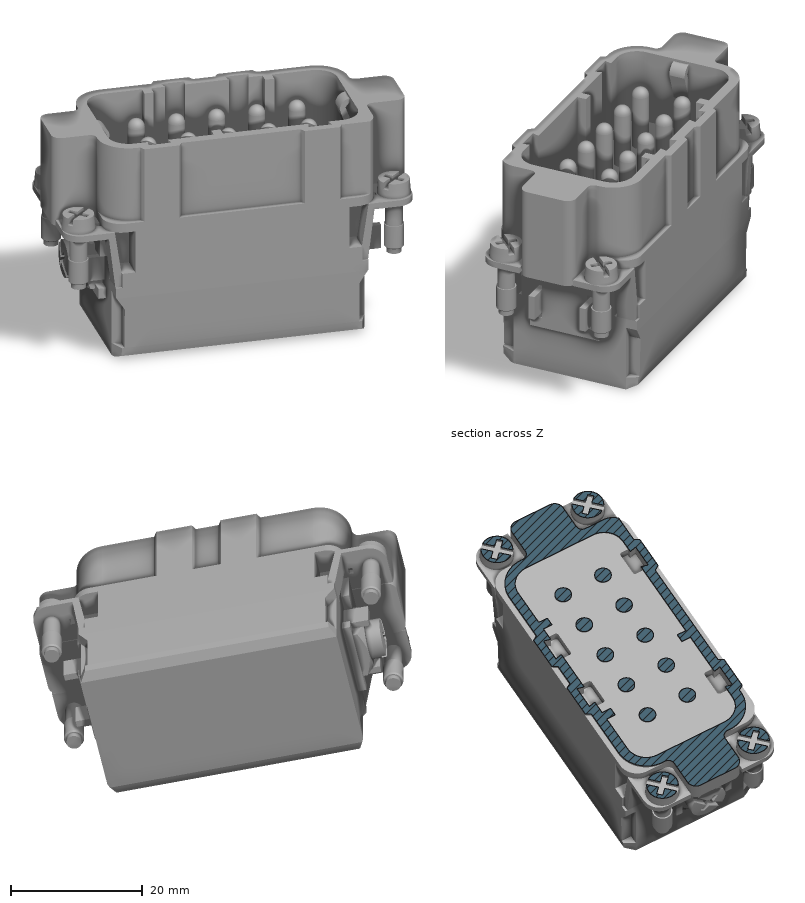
import cadquery as cq
import math

TOTAL_HEIGHT = 35.0
CHAMFER_LOW_Z = 0.7
CHAMFER_TOP_Z = 2.04
TAPER_START_Z = 10.5
COLLAR_BOTTOM_Z = 21.44
COLLAR_TOP_Z = 22.9
FLOOR_Z = 23.0
LOBE_BOTTOM_Z = 20.27

HALF_WIDTH = 11.6
TAPERED_HALF_WIDTH = 11.4
BEVEL_HALF_WIDTH = 11.3
FOOT_HALF_WIDTH = 9.76
BODY_HALF_LENGTH = 19.83
BEVEL_END_HALF_LENGTH = 18.83
SHROUD_HALF_WIDTH = 10.8
SHROUD_HALF_LENGTH = 21.25
COLLAR_RADIUS = 3.0
SHROUD_RADIUS = 4.9
CAVITY_HALF_WIDTH = 9.2
CAVITY_HALF_LENGTH = 19.6
CAVITY_RADIUS = 3.3

LOBE_HALF_WIDTH = 4.5
LOBE_END_Y = 27.7
LOBE_CORNER_RADIUS = 1.5
LOBE_ROOT_RADIUS = 1.0

LEFT_KEYWAYS_Y = (-5.0, 5.0)
RIGHT_KEYWAYS_Y = (-12.58, 12.58)
KEYWAY_BOTTOM_X = 10.3
KEYWAY_WIDTH = 3.65
KEYWAY_MOUTH_WIDTH = 3.1
KEYWAY_FLOOR_WIDTH = 4.45
KEYWAY_FLOOR_DEPTH = 2.0
KEYWAY_FLOOR_RADIUS = 0.4
PAD_WIDTH = 5.5
PAD_BASE_WIDTH = 6.5
RIB_INNER_X = 7.7
RIB_WIDTH = 1.45
LEFT_RIBS_Y = (-9.47, 9.47)
RIGHT_RIBS_Y = (-3.12,)

PIN_RADIUS = 1.3
PIN_TOP_Z = 33.0
PIN_PITCH_X = 7.0
PIN_PITCH_Y = 6.3
PIN_COLUMNS = 2
PIN_ROWS = 5

CLIP_HALF_WIDTH = 1.28
CLIP_ROOT_DEPTH = 0.2
CLIP_LEDGE = 0.25
CLIP_REACH = 1.55
CLIP_NOSE_RADIUS = 1.8
CLIP_TOP_Z = 34.6
CLIP_NOSE_Z = 32.9
CLIP_BOTTOM_Z = 28.3
CLIP_GAP_DEPTH = 0.65
CLIP_GAP_TOP_Z = 34.0
CLIP_GAP_APEX_Z = 33.2
CLIP_GAP_BOTTOM_Z = 31.5

PLATE_OUTER_X = 11.25
PLATE_END_Y = 27.4
PLATE_CORNER_RADIUS = 2.7
PLATE_BOTTOM_Z = 20.43
PLATE_TOP_Z = COLLAR_BOTTOM_Z
LEG_INNER_X = 8.3
LEG_POCKET_INNER_X = 7.8
LEG_BOTTOM_Z = 12.24
LEG_BEND_Z = 14.3
LEG_TOP_OUTER_Y = 20.83
LEG_TOP_INNER_Y = 19.9
PLATE_HOLE_X = 7.8
PLATE_HOLE_WIDTH = 1.0
PLATE_HOLE_END_Y = 21.95
POCKET_INNER_Y = 16.8
POCKET_BOTTOM_Z = 14.58

SCREW_X = 8.0
SCREW_Y = 24.75
SCREW_HEAD_RADIUS = 2.6
SCREW_HEAD_TOP_RADIUS = 2.4
SCREW_HEAD_TOP_Z = 23.78
SHANK_RADIUS = 1.35
SLEEVE_RADIUS = 1.53
SLEEVE_TOP_Z = 16.25
SLEEVE_BOTTOM_Z = 12.6
SLEEVE_CHAMFER = 0.2
SCREW_TIP_RADIUS = 1.15
SCREW_TIP_Z = 11.55
SLOT_WIDTH = 0.9
CROSS_SLOT_LENGTH = 3.4
SLOT_DEPTH = 1.05
SLOT_ANGLE = 45

TERMINAL_Z = 12.63
TERMINAL_HALF_SIDE = 3.78
TERMINAL_FACE_Y = 22.7
TERMINAL_BEVEL_DEPTH = 1.0
END_BOSS_Y = 21.04
END_BOSS_HALF_WIDTH = 6.7
END_BOSS_BOTTOM_Z = 15.5
BRACKET_HALF_WIDTH = 4.8
BRACKET_END_Y = 23.6
BRACKET_BOTTOM_Z = 10.7
BRACKET_TOP_Z = POCKET_BOTTOM_Z
SILL_HALF_WIDTH = 5.83
SILL_BOTTOM_Z = 8.06
SILL_TOP_Z = 9.73
EARTH_HEAD_RADIUS = 2.98
EARTH_HEAD_EDGE_Y = 24.95
EARTH_HEAD_CROWN = 0.3

NOTCH_INNER_Y = 18.43
NOTCH_PEAK_Z = 10.7
NOTCH_SHOULDER_Z = 8.55
SLANTED_NOTCH_END_X = 9.14
CUT_MARGIN = 1.0


def span_box(x_span, y_span, z_span):
    """Box between two limits on each axis."""
    (x0, x1), (y0, y1), (z0, z1) = x_span, y_span, z_span
    return cq.Workplane("XY").box(x1 - x0, y1 - y0, z1 - z0, centered=False).translate((x0, y0, z0))


def rounded_block(half_width, half_length, radius, z_bottom, z_top):
    block = span_box((-half_width, half_width), (-half_length, half_length), (z_bottom, z_top))
    return block.edges("|Z").fillet(radius)


def end_profile(points, x_start, x_end):
    """Extrude a closed (Y, Z) outline along X."""
    return cq.Workplane("YZ").polyline(points).close().extrude(x_end - x_start).translate((x_start, 0, 0))


def on_both_ends(shape):
    return shape.union(shape.mirror("XZ"))


def on_both_sides(shape):
    return shape.union(shape.mirror("YZ"))


def make_body():
    right_side = [
        (FOOT_HALF_WIDTH, 0),
        (BEVEL_HALF_WIDTH, CHAMFER_LOW_Z),
        (TAPERED_HALF_WIDTH, CHAMFER_TOP_Z),
        (HALF_WIDTH, TAPER_START_Z),
        (HALF_WIDTH, COLLAR_BOTTOM_Z),
    ]
    left_side = [(-x, z) for x, z in reversed(right_side)]
    body = (
        cq.Workplane("XZ")
        .polyline(right_side + left_side)
        .close()
        .extrude(BODY_HALF_LENGTH, both=True)
    )
    corner_cuts = (
        make_corner_notches()
        .union(make_foot_bevel(-1, FOOT_HALF_WIDTH))
        .union(make_foot_bevel(1, SLANTED_NOTCH_END_X))
    )
    return body.cut(on_both_ends(corner_cuts))


def make_corner_notches():
    """Notches with a sloping roof on the two corners of one end; the right one has a slanted flank."""
    past_side = HALF_WIDTH + CUT_MARGIN
    past_end = BODY_HALF_LENGTH + CUT_MARGIN
    roof_slope = (NOTCH_PEAK_Z - NOTCH_SHOULDER_Z) / (BODY_HALF_LENGTH - NOTCH_INNER_Y)
    roof_end_z = NOTCH_SHOULDER_Z + roof_slope * (past_end - NOTCH_INNER_Y)
    profile = [
        (-NOTCH_INNER_Y, CHAMFER_TOP_Z),
        (-past_end, CHAMFER_TOP_Z),
        (-past_end, roof_end_z),
        (-NOTCH_INNER_Y, NOTCH_SHOULDER_Z),
    ]
    left_notch = end_profile(profile, -past_side, -FOOT_HALF_WIDTH)
    flank_slope = (FOOT_HALF_WIDTH - SLANTED_NOTCH_END_X) / (BODY_HALF_LENGTH - NOTCH_INNER_Y)
    flank_end_x = FOOT_HALF_WIDTH - flank_slope * (past_end - NOTCH_INNER_Y)
    flank = (
        cq.Workplane("XY")
        .polyline([
            (FOOT_HALF_WIDTH, -NOTCH_INNER_Y),
            (past_side, -NOTCH_INNER_Y),
            (past_side, -past_end),
            (flank_end_x, -past_end),
        ])
        .close()
        .extrude(TOTAL_HEIGHT)
    )
    right_notch = end_profile(profile, 0, past_side).intersect(flank)
    return left_notch.union(right_notch)


def make_foot_bevel(side, start_x):
    """Upright bevel on a foot corner of the -Y end, below the notch."""
    return (
        cq.Workplane("XY")
        .polyline([
            (side * start_x, -BODY_HALF_LENGTH),
            (side * TAPERED_HALF_WIDTH, -BEVEL_END_HALF_LENGTH),
            (side * TAPERED_HALF_WIDTH, -BODY_HALF_LENGTH),
        ])
        .close()
        .extrude(CHAMFER_TOP_Z)
    )


def make_lobe():
    """Post at the -Y end, blended into the shroud with root coves."""
    post = span_box(
        (-LOBE_HALF_WIDTH, LOBE_HALF_WIDTH), (-LOBE_END_Y, -BODY_HALF_LENGTH), (LOBE_BOTTOM_Z, TOTAL_HEIGHT)
    ).edges("|Z and <Y").fillet(LOBE_CORNER_RADIUS)
    root_y = -SHROUD_HALF_LENGTH
    cove_centre_y = root_y - LOBE_ROOT_RADIUS
    cove_centre_x = LOBE_HALF_WIDTH + LOBE_ROOT_RADIUS
    arc_step = LOBE_ROOT_RADIUS * math.sqrt(0.5)
    cove = (
        cq.Workplane("XY", origin=(0, 0, COLLAR_BOTTOM_Z))
        .moveTo(LOBE_HALF_WIDTH, cove_centre_y)
        .threePointArc((cove_centre_x - arc_step, cove_centre_y + arc_step), (cove_centre_x, root_y))
        .lineTo(LOBE_HALF_WIDTH, root_y)
        .close()
        .extrude(TOTAL_HEIGHT - COLLAR_BOTTOM_Z)
    )
    return post.union(on_both_sides(cove))


def make_pad(side, centre_y):
    """Thickened stretch of the shroud's outer wall with sloping flanks."""
    return (
        cq.Workplane("XY", origin=(0, 0, COLLAR_BOTTOM_Z))
        .polyline([
            (side * CAVITY_HALF_WIDTH, centre_y - PAD_BASE_WIDTH / 2),
            (side * SHROUD_HALF_WIDTH, centre_y - PAD_BASE_WIDTH / 2),
            (side * HALF_WIDTH, centre_y - PAD_WIDTH / 2),
            (side * HALF_WIDTH, centre_y + PAD_WIDTH / 2),
            (side * SHROUD_HALF_WIDTH, centre_y + PAD_BASE_WIDTH / 2),
            (side * CAVITY_HALF_WIDTH, centre_y + PAD_BASE_WIDTH / 2),
        ])
        .close()
        .extrude(TOTAL_HEIGHT - COLLAR_BOTTOM_Z)
    )


def make_keyway(side, centre_y):
    """Dovetail groove in the cavity wall with a wider pocket sunk into the floor."""
    groove_bottom_z = FLOOR_Z - KEYWAY_FLOOR_DEPTH
    groove = (
        cq.Workplane("XY", origin=(0, 0, groove_bottom_z))
        .polyline([
            (side * CAVITY_HALF_WIDTH, centre_y - KEYWAY_MOUTH_WIDTH / 2),
            (side * KEYWAY_BOTTOM_X, centre_y - KEYWAY_WIDTH / 2),
            (side * KEYWAY_BOTTOM_X, centre_y + KEYWAY_WIDTH / 2),
            (side * CAVITY_HALF_WIDTH, centre_y + KEYWAY_MOUTH_WIDTH / 2),
        ])
        .close()
        .extrude(TOTAL_HEIGHT - groove_bottom_z)
    )
    inner_x, outer_x = sorted((side * RIB_INNER_X, side * CAVITY_HALF_WIDTH))
    floor_pocket = span_box(
        (inner_x, outer_x),
        (centre_y - KEYWAY_FLOOR_WIDTH / 2, centre_y + KEYWAY_FLOOR_WIDTH / 2),
        (groove_bottom_z, FLOOR_Z),
    )
    cavity_facing_edges = "|Z and <X" if side > 0 else "|Z and >X"
    return groove.union(floor_pocket.edges(cavity_facing_edges).fillet(KEYWAY_FLOOR_RADIUS))


def make_rib(side, centre_y):
    x_span = sorted((side * RIB_INNER_X, side * (CAVITY_HALF_WIDTH + SHROUD_HALF_WIDTH) / 2))
    return span_box(x_span, (centre_y - RIB_WIDTH / 2, centre_y + RIB_WIDTH / 2), (FLOOR_Z, TOTAL_HEIGHT))


def make_coding_corner():
    """Fuller outer corner at (+X, +Y): the collar's rounding, cut off flat at the shroud's side."""
    upright = rounded_block(HALF_WIDTH, SHROUD_HALF_LENGTH, COLLAR_RADIUS, COLLAR_BOTTOM_Z, TOTAL_HEIGHT)
    quarter = span_box((0, SHROUD_HALF_WIDTH), (0, SHROUD_HALF_LENGTH), (COLLAR_BOTTOM_Z, TOTAL_HEIGHT))
    return upright.intersect(quarter)


def make_shroud():
    shroud = rounded_block(HALF_WIDTH, SHROUD_HALF_LENGTH, COLLAR_RADIUS, COLLAR_BOTTOM_Z, COLLAR_TOP_Z)
    shroud = shroud.union(
        rounded_block(SHROUD_HALF_WIDTH, SHROUD_HALF_LENGTH, SHROUD_RADIUS, COLLAR_BOTTOM_Z, TOTAL_HEIGHT)
    )
    shroud = shroud.union(make_coding_corner())
    shroud = shroud.union(on_both_ends(make_lobe()))
    keyways = [(-1, y) for y in LEFT_KEYWAYS_Y] + [(1, y) for y in RIGHT_KEYWAYS_Y]
    ribs = [(-1, y) for y in LEFT_RIBS_Y] + [(1, y) for y in RIGHT_RIBS_Y]
    for side, y in keyways:
        shroud = shroud.union(make_pad(side, y))
    shroud = shroud.cut(
        rounded_block(CAVITY_HALF_WIDTH, CAVITY_HALF_LENGTH, CAVITY_RADIUS, FLOOR_Z, TOTAL_HEIGHT)
    )
    for side, y in keyways:
        shroud = shroud.cut(make_keyway(side, y))
    for side, y in ribs:
        shroud = shroud.union(make_rib(side, y))
    return shroud


def make_pins():
    stems = (
        cq.Workplane("XY", origin=(0, 0, COLLAR_BOTTOM_Z))
        .rarray(PIN_PITCH_X, PIN_PITCH_Y, PIN_COLUMNS, PIN_ROWS)
        .circle(PIN_RADIUS)
        .extrude(PIN_TOP_Z - PIN_RADIUS - COLLAR_BOTTOM_Z)
    )
    tips = (
        cq.Workplane("XY", origin=(0, 0, PIN_TOP_Z - PIN_RADIUS))
        .rarray(PIN_PITCH_X, PIN_PITCH_Y, PIN_COLUMNS, PIN_ROWS)
        .sphere(PIN_RADIUS)
    )
    return stems.union(tips)


def make_spring_clip():
    """Bent strip on the +Y cavity wall: a rounded nose above a sloping tongue."""
    wall_y = CAVITY_HALF_LENGTH
    root_y = wall_y + CLIP_ROOT_DEPTH
    return (
        cq.Workplane("YZ", origin=(-CLIP_HALF_WIDTH, 0, 0))
        .moveTo(root_y, CLIP_TOP_Z)
        .lineTo(wall_y - CLIP_LEDGE, CLIP_TOP_Z)
        .radiusArc((wall_y - CLIP_REACH, CLIP_NOSE_Z), -CLIP_NOSE_RADIUS)
        .lineTo(wall_y, CLIP_BOTTOM_Z)
        .lineTo(root_y, CLIP_BOTTOM_Z)
        .lineTo(root_y, CLIP_GAP_BOTTOM_Z)
        .lineTo(wall_y, CLIP_GAP_BOTTOM_Z)
        .lineTo(wall_y - CLIP_GAP_DEPTH, CLIP_GAP_APEX_Z)
        .lineTo(wall_y, CLIP_GAP_TOP_Z)
        .lineTo(root_y, CLIP_GAP_TOP_Z)
        .close()
        .extrude(2 * CLIP_HALF_WIDTH)
    )


def make_plate():
    """Mounting plate at the (-X, -Y) corner with its folded leg."""
    sheet = span_box(
        (-PLATE_OUTER_X, -LOBE_HALF_WIDTH), (-PLATE_END_Y, -LEG_TOP_INNER_Y), (PLATE_BOTTOM_Z, PLATE_TOP_Z)
    ).edges("|Z and <X and <Y").fillet(PLATE_CORNER_RADIUS)
    hole = span_box(
        (-PLATE_HOLE_X - PLATE_HOLE_WIDTH / 2, -PLATE_HOLE_X + PLATE_HOLE_WIDTH / 2),
        (-PLATE_HOLE_END_Y, -SHROUD_HALF_LENGTH),
        (PLATE_BOTTOM_Z, PLATE_TOP_Z),
    )
    leg = end_profile(
        [
            (-LEG_TOP_INNER_Y, PLATE_TOP_Z),
            (-LEG_TOP_OUTER_Y, PLATE_TOP_Z),
            (-LEG_TOP_OUTER_Y, PLATE_BOTTOM_Z),
            (-BODY_HALF_LENGTH, LEG_BOTTOM_Z),
            (-BEVEL_END_HALF_LENGTH, LEG_BOTTOM_Z),
            (-BEVEL_END_HALF_LENGTH, LEG_BEND_Z),
        ],
        -PLATE_OUTER_X,
        -LEG_INNER_X,
    )
    return sheet.cut(hole).union(leg)


def make_leg_clearance():
    """Side pocket behind a leg and the groove below it that takes the leg's end."""
    x_span = (-HALF_WIDTH, -LEG_POCKET_INNER_X)
    pocket = span_box(x_span, (-BODY_HALF_LENGTH, -POCKET_INNER_Y), (POCKET_BOTTOM_Z, PLATE_TOP_Z))
    groove = span_box(x_span, (-BODY_HALF_LENGTH, -BEVEL_END_HALF_LENGTH), (LEG_BOTTOM_Z, PLATE_TOP_Z))
    return pocket.union(groove)


def make_cross_slots(head_radius):
    """Long slot and shorter crossing slot, cut downwards from Z = 0."""
    long_slot = cq.Workplane("XY").box(2 * head_radius + CUT_MARGIN, SLOT_WIDTH, 2 * SLOT_DEPTH)
    short_slot = cq.Workplane("XY").box(SLOT_WIDTH, CROSS_SLOT_LENGTH, 2 * SLOT_DEPTH)
    return long_slot.union(short_slot).rotate((0, 0, 0), (0, 0, 1), -SLOT_ANGLE)


def make_mounting_screw():
    profile = [
        (0, SCREW_TIP_Z),
        (SCREW_TIP_RADIUS, SCREW_TIP_Z),
        (SCREW_TIP_RADIUS, SLEEVE_BOTTOM_Z - SLEEVE_CHAMFER),
        (SLEEVE_RADIUS - SLEEVE_CHAMFER, SLEEVE_BOTTOM_Z - SLEEVE_CHAMFER),
        (SLEEVE_RADIUS, SLEEVE_BOTTOM_Z),
        (SLEEVE_RADIUS, SLEEVE_TOP_Z),
        (SHANK_RADIUS, SLEEVE_TOP_Z),
        (SHANK_RADIUS, PLATE_TOP_Z),
        (SCREW_HEAD_RADIUS, PLATE_TOP_Z),
        (SCREW_HEAD_TOP_RADIUS, SCREW_HEAD_TOP_Z),
        (0, SCREW_HEAD_TOP_Z),
    ]
    screw = cq.Workplane("XZ").polyline(profile).close().revolve(360, (0, 0, 0), (0, 1, 0))
    return screw.cut(make_cross_slots(SCREW_HEAD_RADIUS).translate((0, 0, SCREW_HEAD_TOP_Z)))


def make_end_fittings():
    """Boss, terminal core, bracket cheeks and sill on the -Y end wall."""
    wall_y = -BODY_HALF_LENGTH
    boss = span_box(
        (-END_BOSS_HALF_WIDTH, END_BOSS_HALF_WIDTH), (-END_BOSS_Y, wall_y), (END_BOSS_BOTTOM_Z, PLATE_TOP_Z)
    )
    core = span_box(
        (-TERMINAL_HALF_SIDE, TERMINAL_HALF_SIDE),
        (-END_BOSS_Y, wall_y),
        (TERMINAL_Z - TERMINAL_HALF_SIDE, TERMINAL_Z + TERMINAL_HALF_SIDE),
    )
    cheek = span_box(
        (TERMINAL_HALF_SIDE, BRACKET_HALF_WIDTH),
        (-BRACKET_END_Y, wall_y),
        (BRACKET_BOTTOM_Z, BRACKET_TOP_Z),
    )
    sill = span_box((-SILL_HALF_WIDTH, SILL_HALF_WIDTH), (-END_BOSS_Y, wall_y), (SILL_BOTTOM_Z, SILL_TOP_Z))
    return boss.union(core).union(on_both_sides(cheek)).union(sill)


def make_earth_terminal():
    """Square terminal with coned corners and a crowned screw, built along +Z and turned to face -Y."""
    base = BODY_HALF_LENGTH
    side = 2 * TERMINAL_HALF_SIDE
    block = cq.Workplane("XY", origin=(0, 0, base)).rect(side, side).extrude(TERMINAL_FACE_Y - base)
    corner_radius = TERMINAL_HALF_SIDE * math.sqrt(2)
    cone = (
        cq.Workplane("XZ")
        .polyline([
            (0, base),
            (corner_radius, base),
            (corner_radius, TERMINAL_FACE_Y - TERMINAL_BEVEL_DEPTH),
            (TERMINAL_HALF_SIDE, TERMINAL_FACE_Y),
            (0, TERMINAL_FACE_Y),
        ])
        .close()
        .revolve(360, (0, 0, 0), (0, 1, 0))
    )
    crown_z = EARTH_HEAD_EDGE_Y + EARTH_HEAD_CROWN
    crown_radius = (EARTH_HEAD_RADIUS**2 + EARTH_HEAD_CROWN**2) / (2 * EARTH_HEAD_CROWN)
    head = (
        cq.Workplane("XZ")
        .moveTo(0, base)
        .lineTo(EARTH_HEAD_RADIUS, base)
        .lineTo(EARTH_HEAD_RADIUS, EARTH_HEAD_EDGE_Y)
        .radiusArc((0, crown_z), -crown_radius)
        .close()
        .revolve(360, (0, 0, 0), (0, 1, 0))
    )
    head = head.cut(make_cross_slots(EARTH_HEAD_RADIUS).translate((0, 0, crown_z)))
    terminal = block.intersect(cone).union(head)
    return terminal.rotate((0, 0, 0), (1, 0, 0), 90).translate((0, 0, TERMINAL_Z))


result = make_body()
result = result.cut(on_both_ends(on_both_sides(make_leg_clearance())))
result = result.union(make_shroud())
result = result.union(on_both_ends(on_both_sides(make_plate())))
result = result.union(on_both_ends(make_end_fittings()))
result = result.union(make_earth_terminal())
result = result.union(make_pins())
result = result.union(on_both_ends(make_spring_clip()))
for screw_x in (-SCREW_X, SCREW_X):
    for screw_y in (-SCREW_Y, SCREW_Y):
        result = result.union(make_mounting_screw().translate((screw_x, screw_y, 0)))